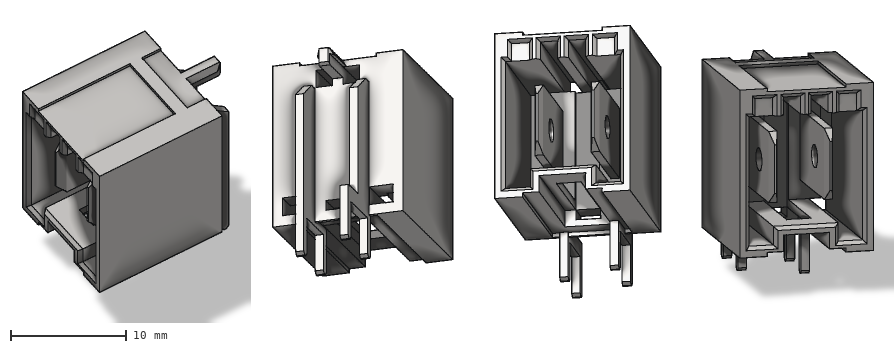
import cadquery as cq


width = 12.0
length = 12.8
height = 14.93

flare = 0.32
cavity_half_width = 5.1
cavity_floor = 0.95
cavity_ceiling = 12.44
back_wall_y = 10.77

opening_row_half_width = 4.55
opening_top = 14.02
rib_width = 0.98

shelf_half_width = 2.91
shelf_top = 2.59
channel_half_width = 2.06
channel_top = 1.83
shelf_slot_half_width = 1.1
shelf_slot_y = 2.65

pad_height = 0.5
pad_inner_x = shelf_slot_half_width
left_pad_outer_x = 3.8
right_pad_outer_x = 3.99

recess_half_width = 3.53
top_recess_depth = 0.28
front_recess_end = 9.56
rear_recess_start = 10.81
bottom_recess_depth = 0.35
bottom_recess_end = 12.47

pole_pitch = 4.99
rib_pitch = pole_pitch / 2
contact_thickness = 0.75
blade_bottom = 4.3
blade_top = 10.65
blade_shoulder_y = 2.05
blade_tip_y = 1.12
blade_tip_inset = 1.0
blade_tip_thickness = 0.17
blade_hole_diameter = 2.0
blade_hole_y = 5.31
plate_top = 12.36
plate_slope_bottom = 10.89
plate_slope_y = 13.63
plate_rear_y = 15.61
foot_top = 1.0
foot_bottom = -0.4
foot_corner_radius = 0.19
leg_width = 0.8
leg_pitch = 4.99
leg_bottom = -3.97
leg_tip_chamfer = 0.28
left_foot_rear_y = 18.1

peg_rear_y = 16.37
peg_bottom = 13.05
peg_shoulder_z = 14.05
peg_top_half_width = 0.42
peg_shoulder_half_width = 0.8
peg_taper_length = 0.59
peg_top_radius = 0.2
peg_bottom_chamfer = 0.25


def block(x0, x1, y0, y1, z0, z1):
    return cq.Workplane("XY").box(x1 - x0, y1 - y0, z1 - z0, centered=False).translate((x0, y0, z0))


def frustum(half_width, z0, z1, front_y, rear_y, growth_x, growth_z):
    """Tapered block along Y; the size is that of the rear end, the front is larger by the growths."""
    middle_z = (z0 + z1) / 2
    return (
        cq.Workplane("XZ", origin=(0, rear_y, middle_z))
        .rect(2 * half_width, z1 - z0)
        .workplane(offset=rear_y - front_y)
        .rect(2 * (half_width + growth_x), z1 - z0 + 2 * growth_z)
        .loft(combine=True)
    )


def flared_mouth(half_width, z0, z1):
    return frustum(half_width, z0, z1, 0, flare, flare, flare)


def side_profile(points, x0, x1):
    """Extrude an outline of (Y, Z) points from x0 to x1."""
    return cq.Workplane("YZ", origin=(x0, 0, 0)).polyline(points).close().extrude(x1 - x0)


def make_recesses():
    floor_z = height - top_recess_depth
    front = block(-recess_half_width, recess_half_width, 0, front_recess_end, floor_z, height)
    rear = block(-recess_half_width, recess_half_width, rear_recess_start, length, floor_z, height)
    bottom = block(-recess_half_width, recess_half_width, 0, bottom_recess_end, 0, bottom_recess_depth)
    return front.union(rear).union(bottom)


def make_ribs():
    """Rib noses inside the flare; each widens from the mouth to the full rib width."""
    ribs = cq.Workplane("XY")
    for x in (-rib_pitch, 0, rib_pitch):
        nose = frustum(rib_width / 2, cavity_ceiling, opening_top + flare, 0, flare, -flare, 0)
        ribs = ribs.union(nose.translate((x, 0, 0)))
    return ribs


def make_windows():
    """Openings on both sides of the middle rib, passing through the back wall."""
    clear_width = rib_pitch - rib_width
    left = block(-rib_width / 2 - clear_width, -rib_width / 2, 0, length, cavity_ceiling, opening_top)
    return left.union(left.mirror("YZ"))


def make_shelf():
    """Shelf with its front edges bevelled at the mouth, from the housing bottom recess upward."""
    nose = frustum(shelf_half_width, -shelf_top, shelf_top, 0, flare, -flare, -flare)
    nose = nose.cut(block(-width, width, 0, length, -shelf_top, bottom_recess_depth))
    bar = block(-shelf_half_width, shelf_half_width, flare, length, bottom_recess_depth, shelf_top)
    return nose.union(bar)


def make_pads():
    front_y = back_wall_y - pad_height
    left = block(-left_pad_outer_x, -pad_inner_x, front_y, back_wall_y, shelf_top, cavity_ceiling)
    right = block(pad_inner_x, right_pad_outer_x, front_y, back_wall_y, shelf_top, cavity_ceiling)
    return left.union(right)


def make_housing():
    body = block(-width / 2, width / 2, 0, length, 0, height).cut(make_recesses())
    body = body.cut(flared_mouth(cavity_half_width, cavity_floor, cavity_ceiling))
    body = body.cut(flared_mouth(opening_row_half_width, shelf_top, opening_top))
    body = body.cut(
        block(-cavity_half_width, cavity_half_width, 0, back_wall_y, cavity_floor, cavity_ceiling)
    )
    body = body.cut(block(-cavity_half_width, cavity_half_width, 0, length, cavity_floor, shelf_top))
    body = body.union(make_ribs()).cut(make_windows())
    body = body.union(make_shelf()).union(make_pads())
    body = body.cut(block(-channel_half_width, channel_half_width, 0, back_wall_y, 0, channel_top))
    body = body.cut(
        block(-shelf_slot_half_width, shelf_slot_half_width, shelf_slot_y, back_wall_y, 0, shelf_top)
    )
    return body.cut(
        block(-shelf_slot_half_width, shelf_slot_half_width, 0, length, cavity_floor, channel_top)
    )


def make_blade():
    middle_z = (blade_bottom + blade_top) / 2
    half = contact_thickness / 2
    tip_half = blade_tip_thickness / 2
    tip = frustum(half, blade_bottom, blade_top, blade_tip_y, blade_shoulder_y,
                  tip_half - half, -blade_tip_inset)
    bar = block(-half, half, blade_shoulder_y, length, blade_bottom, blade_top)
    hole = (
        cq.Workplane("YZ", origin=(-half, blade_hole_y, middle_z))
        .circle(blade_hole_diameter / 2)
        .extrude(contact_thickness)
    )
    return tip.union(bar).cut(hole)


def make_leg(rear_y):
    half = contact_thickness / 2
    leg = block(-half, half, rear_y - leg_width, rear_y, leg_bottom, bottom_recess_depth)
    return leg.faces("<Z").edges("|X").chamfer(leg_tip_chamfer)


def make_contact(foot_rear_y):
    """Blade, upright plate behind the housing and a foot with two solder legs."""
    half = contact_thickness / 2
    foot_front_y = foot_rear_y - leg_pitch - leg_width
    plate = side_profile(
        [
            (length, foot_bottom),
            (plate_rear_y, foot_bottom),
            (plate_rear_y, plate_slope_bottom),
            (plate_slope_y, plate_top),
            (length, plate_top),
        ],
        -half,
        half,
    )
    foot = block(-half, half, foot_front_y, foot_rear_y, foot_bottom, bottom_recess_depth)
    foot = foot.union(block(-half, half, length, foot_rear_y, foot_bottom, foot_top))
    for rear_y in (foot_rear_y, foot_rear_y - leg_pitch):
        foot = foot.union(make_leg(rear_y))
    foot = foot.edges("|X and >Y and >Z").fillet(foot_corner_radius)
    return make_blade().union(plate).union(foot)


def make_peg():
    """Roof-shaped head on a stem as wide as the middle rib, tapered at the rear end."""
    top = height - top_recess_depth
    stem_half = rib_width / 2
    section = (
        cq.Workplane("XZ", origin=(0, length, 0))
        .moveTo(-stem_half, peg_bottom)
        .lineTo(-stem_half, peg_shoulder_z)
        .lineTo(-peg_shoulder_half_width, peg_shoulder_z)
        .lineTo(-peg_top_half_width, top)
        .lineTo(peg_top_half_width, top)
        .lineTo(peg_shoulder_half_width, peg_shoulder_z)
        .lineTo(stem_half, peg_shoulder_z)
        .lineTo(stem_half, peg_bottom)
        .close()
        .extrude(length - peg_rear_y)
    )
    envelope = block(-peg_shoulder_half_width, peg_shoulder_half_width, length, peg_rear_y, peg_bottom, top)
    envelope = envelope.faces(">Y").edges("<Z").chamfer(peg_bottom_chamfer)
    envelope = envelope.faces(">Y").edges(">Z").fillet(peg_top_radius)
    plan = (
        cq.Workplane("XY")
        .moveTo(-peg_shoulder_half_width, length)
        .lineTo(-peg_shoulder_half_width, peg_rear_y - peg_taper_length)
        .lineTo(-peg_top_half_width, peg_rear_y)
        .lineTo(peg_top_half_width, peg_rear_y)
        .lineTo(peg_shoulder_half_width, peg_rear_y - peg_taper_length)
        .lineTo(peg_shoulder_half_width, length)
        .close()
        .extrude(height)
    )
    return section.intersect(envelope).intersect(plan)


left_contact = make_contact(left_foot_rear_y).translate((-pole_pitch / 2, 0, 0))
right_contact = make_contact(plate_rear_y).translate((pole_pitch / 2, 0, 0))
result = make_housing().union(left_contact).union(right_contact).union(make_peg())